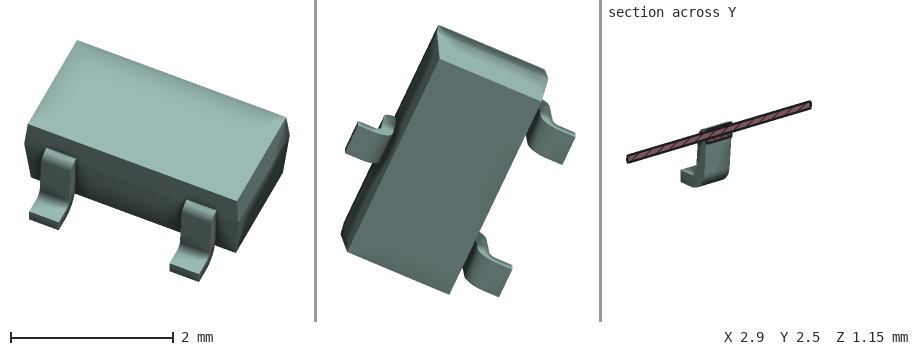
import cadquery as cq
import math

lead_span = 2.5
lead_width = 0.4
lead_thickness = 0.16
lead_top = 0.85
foot_flat_length = 0.2085
foot_inner_radius = 0.1
foot_outer_radius = foot_inner_radius + lead_thickness
shoulder_radius = 0.15
leg_lean = 5
lead_pitch = 1.9

body_length = 2.9
body_width = 1.5
body_bottom = 0.05
body_top = 1.15
draft_angle = 5
parting_height = lead_top - lead_thickness / 2


def make_body():
    """Block that tapers upwards and downwards from its parting plane."""
    parting = cq.Workplane("XY").workplane(offset=parting_height)
    upper = parting.rect(body_length, body_width).extrude(body_top - parting_height, taper=draft_angle)
    lower = parting.rect(body_length, body_width).extrude(body_bottom - parting_height, taper=draft_angle)
    return upper.union(lower)


def point_on_circle(center, radius, angle):
    """Point at an angle in degrees, measured from +Y towards +Z."""
    turn = math.radians(angle)
    return (center[0] + radius * math.cos(turn), center[1] + radius * math.sin(turn))


def point_up_leg(start, height):
    """Point at the given height on a leaning leg line that passes through start."""
    return (start[0] - (height - start[1]) * math.tan(math.radians(leg_lean)), height)


def make_lead(body):
    """Lead on the +Y side at X = 0, ending flush on the drafted side of the body."""
    tip = lead_span / 2

    foot_center = (tip - foot_flat_length, foot_outer_radius)
    leg_angle = 180 + leg_lean
    foot_mid_angle = (leg_angle + 270) / 2
    leg_outer_start = point_on_circle(foot_center, foot_inner_radius, leg_angle)
    leg_inner_start = point_on_circle(foot_center, foot_outer_radius, leg_angle)

    shoulder_height = lead_top - shoulder_radius
    leg_line_at_shoulder = point_up_leg(leg_outer_start, shoulder_height)
    shoulder_offset = shoulder_radius / math.cos(math.radians(leg_lean))
    shoulder_center = (leg_line_at_shoulder[0] - shoulder_offset, shoulder_height)
    shoulder_mid_angle = (leg_lean + 90) / 2
    underside = lead_top - lead_thickness
    inner_corner = point_up_leg(leg_inner_start, underside)

    inside_body = body_width / 4
    lead = (
        cq.Workplane("YZ")
        .moveTo(tip, 0)
        .lineTo(tip, lead_thickness)
        .lineTo(foot_center[0], lead_thickness)
        .threePointArc(point_on_circle(foot_center, foot_inner_radius, foot_mid_angle), leg_outer_start)
        .lineTo(*point_on_circle(shoulder_center, shoulder_radius, leg_lean))
        .threePointArc(
            point_on_circle(shoulder_center, shoulder_radius, shoulder_mid_angle),
            (shoulder_center[0], lead_top),
        )
        .lineTo(inside_body, lead_top)
        .lineTo(inside_body, underside)
        .lineTo(*inner_corner)
        .lineTo(*leg_inner_start)
        .threePointArc(point_on_circle(foot_center, foot_outer_radius, foot_mid_angle), (foot_center[0], 0))
        .close()
        .extrude(lead_width / 2, both=True)
    )
    return lead.cut(body)


body = make_body()

rear_lead = make_lead(body)
front_lead = rear_lead.rotate((0, 0, 0), (0, 0, 1), 180)
leads = [rear_lead]
for side in (-1, 1):
    leads.append(front_lead.translate((side * lead_pitch / 2, 0, 0)))

result = cq.Compound.makeCompound([body.solids().val(), *[lead.solids().val() for lead in leads]])